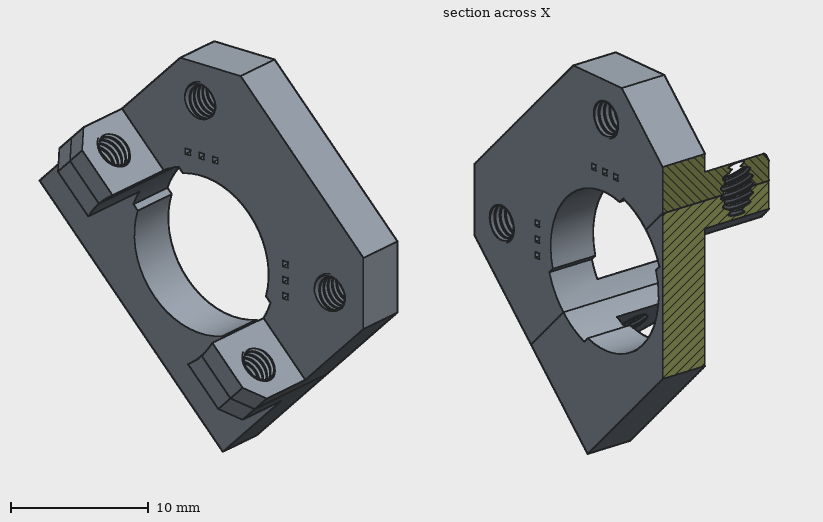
import cadquery as cq
import math


envelope = 30.0
half_length = 12.0
lower_reach = envelope / math.sqrt(2) - half_length
upper_reach = 13.17
corner_cut = upper_reach - lower_reach
plate_thickness = 4.0
turn_angle = -45.0

bore_radius = 6.2
relief_radius = 6.72
relief_upper = 3.0
relief_lower = 2.8

ear_height = 6.0
half_ear_thickness = 1.6
ear_chamfer = 1.5
ear_screw_w = 9.48
ear_screw_y = -ear_height / 2

minor_radius = 2.52 / 2
major_radius = 3.1 / 2
turns_in_plate = 8
pitch = plate_thickness / turns_in_plate
root_width = 0.03
flank_angle = 30.0
root_overlap = 0.05
thread_overrun = 2 * pitch
ear_thread_phase = 35.0
plate_thread_phase = -85.0

plate_screw_offset = 12.0
pin_hole_size = 0.45
pin_hole_pitch = 1.25
pin_row_offset = 7.77

depth = plate_thickness + ear_height
cut_length = 2 * depth


def threaded_hole(length, phase):
    """Tool for a threaded hole along +Z from the origin; the groove is at angle `phase` at Z = 0."""
    groove_depth = major_radius - minor_radius + root_overlap
    half_root = root_width / 2
    half_mouth = half_root + groove_depth * math.tan(math.radians(flank_angle))
    inner_radius = minor_radius - root_overlap
    tool_length = length + 2 * thread_overrun
    helix = cq.Wire.makeHelix(pitch, tool_length, minor_radius)
    groove = (
        cq.Workplane("XZ")
        .polyline([
            (inner_radius, -half_mouth),
            (major_radius, -half_root),
            (major_radius, half_root),
            (inner_radius, half_mouth),
        ])
        .close()
        .sweep(cq.Workplane(helix), isFrenet=True)
        .rotate((0, 0, 0), (0, 0, 1), phase)
    )
    drill = (
        cq.Workplane("XY")
        .workplane(offset=-pitch)
        .circle(minor_radius)
        .extrude(tool_length + 2 * pitch)
    )
    return drill.union(groove).translate((0, 0, -thread_overrun)).val()


def cut_threaded_holes(body, length, phase, axis, places):
    """Cut one threaded hole at each place; the thread starts there and runs along the axis."""
    tool = threaded_hole(length, phase)
    for place in places:
        seat = cq.Plane(origin=place, xDir=(0, 0, 1), normal=axis)
        body = body.cut(cq.Workplane(tool.moved(cq.Location(seat))))
    return body


def bar(u_size, y_size, w_size, u_start, y_start):
    """Box centred on W = 0 that starts at the given U and Y."""
    return (
        cq.Workplane("XY")
        .box(u_size, y_size, w_size, centered=(False, False, True))
        .translate((u_start, y_start, 0))
    )


def ears(side):
    """The two half ears on one side (+1 upper, -1 lower) of the split plane, as one bar across the bore."""
    u_start = min(0, side * half_ear_thickness)
    half_bar = bar(half_ear_thickness, ear_height, 2 * half_length, u_start, -ear_height)
    return half_bar.faces("<Y").edges("|X").chamfer(ear_chamfer)


def cut_bore(body):
    """Cut the bore with its relief slots in the plate, and clear the ears to the relief radius."""
    bore = cq.Workplane("XZ").circle(bore_radius).extrude(cut_length, both=True)
    relief = cq.Workplane("XZ").circle(relief_radius).extrude(cut_length, both=True)
    slot = bar(relief_upper + relief_lower, cut_length, cut_length, -relief_lower, -depth)
    return body.cut(bore).cut(relief.intersect(slot))


def cut_ear_screws(body, side):
    """Thread the two half ears on one side; both sides hold parts of one continuous thread."""
    u_start = min(0, side * half_ear_thickness)
    turned = 360 * u_start / pitch
    places = [(u_start, ear_screw_y, sign * ear_screw_w) for sign in (-1, 1)]
    return cut_threaded_holes(body, half_ear_thickness, ear_thread_phase + turned, (1, 0, 0), places)


def set_in_place(body):
    return body.rotate((0, 0, 0), (0, 1, 0), turn_angle)


def make_lower_half():
    plate = bar(lower_reach, plate_thickness, 2 * half_length, -lower_reach, 0)
    return set_in_place(cut_ear_screws(cut_bore(plate.union(ears(-1))), -1))


def make_upper_half():
    plate = bar(upper_reach, plate_thickness, 2 * half_length, 0, 0)
    plate = plate.faces(">X").edges("|Y").chamfer(corner_cut)
    body = set_in_place(cut_ear_screws(cut_bore(plate.union(ears(1))), 1))

    screw_places = [(0, 0, plate_screw_offset), (plate_screw_offset, 0, 0)]
    body = cut_threaded_holes(body, plate_thickness, plate_thread_phase, (0, 1, 0), screw_places)

    steps = [-pin_hole_pitch, 0, pin_hole_pitch]
    pin_places = [(step, pin_row_offset) for step in steps] + [(pin_row_offset, step) for step in steps]
    pin_holes = (
        cq.Workplane("XZ")
        .pushPoints(pin_places)
        .rect(pin_hole_size, pin_hole_size)
        .extrude(-plate_thickness)
    )
    return body.cut(pin_holes)


lower_half = make_lower_half()
upper_half = make_upper_half()

result = cq.Compound.makeCompound([lower_half.solids().val(), upper_half.solids().val()])